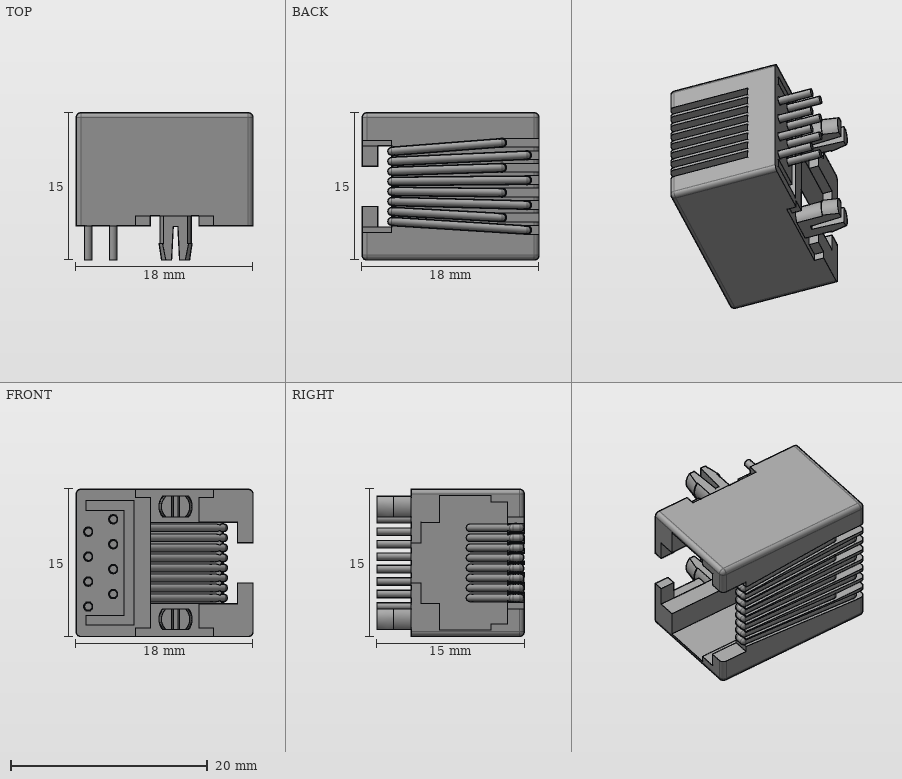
import cadquery as cq
import math


LENGTH = 18.0
HEIGHT = 15.0
DEPTH = 11.5
EDGE_RADIUS = 0.5
OVERALL_DEPTH = 15.0
PROTRUSION = OVERALL_DEPTH - DEPTH

CAVITY_START_X = 7.55
LATCH_HALF = 4.12
LATCH_OUTER_HALF = 4.15
LATCH_STOP_X = 16.4
STOP_DEPTH = 1.0
STOP_HALF_GAP = 2.03
LIP_DEPTH = 2.86
PLUG_HALF = 6.84
PLUG_STEP_Y = 8.1
NARROW_HALF = 6.2
TOP_WALL_Y = 9.81
TOP_WALL_END_X = 15.0
TOP_OPENING_HALF = 4.68

RECESS_DEPTH = 1.0
RECESS_START_X = CAVITY_START_X
RECESS_END_X = 12.47
RECESS_HALF = 6.65
RECESS_FLARE = 1.51

GROOVE_WIDTH = 1.0
GROOVE_START_X = 1.0
GROOVE_END_X = 5.9
GROOVE_OUTER_HALF = 6.34
GROOVE_DEPTH = 1.0

PEG_X = 10.12
PEG_Z = 5.72
PEG_THICKNESS = 2.1
PEG_RADIUS = 1.6
BARB_RADIUS = 1.7
TIP_RADIUS = 1.44
BARB_Y = -1.8
SPLIT_TOP_Y = -0.09
SPLIT_TOP_WIDTH = 0.45
SPLIT_TIP_WIDTH = 0.8

CONTACT_COUNT = 8
WIRE_DIAMETER = 0.8
CHANNEL_WIDTH = 0.9
PIN_ROWS_X = (1.25, 3.78)
PIN_SPAN = 8.87
TIP_SPAN = 7.13
SLOT_START_Y = 3.0
RUN_Y = DEPTH - CHANNEL_WIDTH / 2
TIP_X = TOP_WALL_END_X
BEND_Y = 10.35
SPRING_ANGLE = 30.0

WIRE_RADIUS = WIRE_DIAMETER / 2
CHANNEL_RADIUS = CHANNEL_WIDTH / 2


def block(x0, x1, y0, y1, z0, z1):
    """Box between two opposite corners."""
    return cq.Workplane("XY").box(x1 - x0, y1 - y0, z1 - z0, centered=False).translate((x0, y0, z0))


def centred_block(x0, x1, y0, y1, half_z):
    """Box that is symmetric about Z = 0."""
    return block(x0, x1, y0, y1, -half_z, half_z)


def rod(start, end, radius):
    """Cylinder from one point to another."""
    start, end = cq.Vector(*start), cq.Vector(*end)
    axis = end - start
    return cq.Workplane(cq.Solid.makeCylinder(radius, axis.Length, start, axis))


def mirrored(shape):
    """The shape together with its mirror image about Z = 0."""
    return shape.union(shape.mirror("XY"))


def pin_x(index):
    return PIN_ROWS_X[index % 2]


def spread(index, span):
    """Z of one contact when all of them are spread evenly over a span."""
    return (index / (CONTACT_COUNT - 1) - 0.5) * span


def spring_leg(index):
    """Sloping leg inside the cavity, ending flush on the bulkhead."""
    z = spread(index, TIP_SPAN)
    end_x = CAVITY_START_X - WIRE_DIAMETER
    end_y = BEND_Y - (TIP_X - end_x) * math.tan(math.radians(SPRING_ANGLE))
    leg = rod((TIP_X, BEND_Y, z), (end_x, end_y, z), WIRE_RADIUS)
    return leg.cut(centred_block(0, CAVITY_START_X, 0, DEPTH, HEIGHT / 2))


def contact(index):
    """Round wire: solder pin, run along the top wall, drop, then the spring leg."""
    pin_z, tip_z = spread(index, PIN_SPAN), spread(index, TIP_SPAN)
    path = [
        (pin_x(index), -PROTRUSION, pin_z),
        (pin_x(index), RUN_Y, pin_z),
        (TIP_X, RUN_Y, tip_z),
        (TIP_X, BEND_Y, tip_z),
    ]
    wire = spring_leg(index)
    for start, end in zip(path, path[1:]):
        corner = cq.Workplane("XY").sphere(WIRE_RADIUS).translate(end)
        wire = wire.union(rod(start, end, WIRE_RADIUS)).union(corner)
    return wire


def shell():
    body = centred_block(0, LENGTH, 0, DEPTH, HEIGHT / 2)
    return body.edges("|Y or >Y").fillet(EDGE_RADIUS)


def plug_cavity():
    x0, x1 = CAVITY_START_X, LENGTH
    cavity = centred_block(x0, LATCH_STOP_X, 0, STOP_DEPTH, LATCH_OUTER_HALF)
    cavity = cavity.union(centred_block(LATCH_STOP_X, x1, 0, STOP_DEPTH, STOP_HALF_GAP))
    cavity = cavity.union(centred_block(x0, x1, STOP_DEPTH, LIP_DEPTH, LATCH_HALF))
    cavity = cavity.union(centred_block(x0, x1, LIP_DEPTH, PLUG_STEP_Y, PLUG_HALF))
    cavity = cavity.union(centred_block(x0, x1, PLUG_STEP_Y, TOP_WALL_Y, NARROW_HALF))
    return cavity.union(centred_block(TOP_WALL_END_X, x1, TOP_WALL_Y, DEPTH, TOP_OPENING_HALF))


def mounting_recesses():
    narrow = block(RECESS_START_X, RECESS_END_X, 0, RECESS_DEPTH, LATCH_HALF, RECESS_HALF)
    flare = block(
        RECESS_START_X - RECESS_FLARE, RECESS_END_X + RECESS_FLARE,
        0, RECESS_DEPTH, RECESS_HALF, HEIGHT / 2,
    )
    return mirrored(narrow.union(flare))


def pin_groove():
    outer = centred_block(GROOVE_START_X, GROOVE_END_X, 0, GROOVE_DEPTH, GROOVE_OUTER_HALF)
    island = centred_block(
        GROOVE_START_X, GROOVE_END_X - GROOVE_WIDTH, 0, GROOVE_DEPTH, GROOVE_OUTER_HALF - GROOVE_WIDTH
    )
    return outer.cut(island)


def peg():
    """Split snap peg with a tapered barb, flattened on both Z sides."""
    profile = [
        (0, RECESS_DEPTH),
        (PEG_RADIUS, RECESS_DEPTH),
        (PEG_RADIUS, BARB_Y),
        (BARB_RADIUS, BARB_Y),
        (TIP_RADIUS, -PROTRUSION),
        (0, -PROTRUSION),
    ]
    body = cq.Workplane("XY").polyline(profile).close().revolve(360, (0, 0), (0, 1))
    flats = centred_block(-BARB_RADIUS, BARB_RADIUS, -PROTRUSION, RECESS_DEPTH, PEG_THICKNESS / 2)
    split = (
        cq.Workplane("XY")
        .polyline([
            (-SPLIT_TOP_WIDTH / 2, SPLIT_TOP_Y),
            (SPLIT_TOP_WIDTH / 2, SPLIT_TOP_Y),
            (SPLIT_TIP_WIDTH / 2, -PROTRUSION),
            (-SPLIT_TIP_WIDTH / 2, -PROTRUSION),
        ])
        .close()
        .extrude(PEG_THICKNESS / 2, both=True)
    )
    return body.intersect(flats).cut(split).translate((PEG_X, 0, PEG_Z))


def contact_channel(index):
    """Pin hole, slot in the rear wall, groove on the top wall and notch in its edge."""
    x, pin_z, tip_z = pin_x(index), spread(index, PIN_SPAN), spread(index, TIP_SPAN)
    pin_hole = rod((x, 0, pin_z), (x, DEPTH, pin_z), CHANNEL_RADIUS)
    rear_slot = block(0, x, SLOT_START_Y, DEPTH, pin_z - CHANNEL_RADIUS, pin_z + CHANNEL_RADIUS)
    top_groove = (
        cq.Workplane("XZ", origin=(0, DEPTH, 0))
        .polyline([
            (x, pin_z - CHANNEL_RADIUS),
            (TIP_X, tip_z - CHANNEL_RADIUS),
            (TIP_X, tip_z + CHANNEL_RADIUS),
            (x, pin_z + CHANNEL_RADIUS),
        ])
        .close()
        .extrude(CHANNEL_WIDTH)
    )
    edge_notch = rod((TIP_X, TOP_WALL_Y, tip_z), (TIP_X, DEPTH, tip_z), CHANNEL_RADIUS)
    return pin_hole.union(rear_slot).union(top_groove).union(edge_notch)


def build_housing():
    body = shell().cut(plug_cavity()).cut(mounting_recesses()).cut(pin_groove())
    body = body.union(mirrored(peg()))
    for index in range(CONTACT_COUNT):
        body = body.cut(contact_channel(index)).cut(spring_leg(index))
    return body


housing = build_housing()
contacts = [contact(index) for index in range(CONTACT_COUNT)]

result = cq.Compound.makeCompound([housing.val(), *[wire.val() for wire in contacts]])